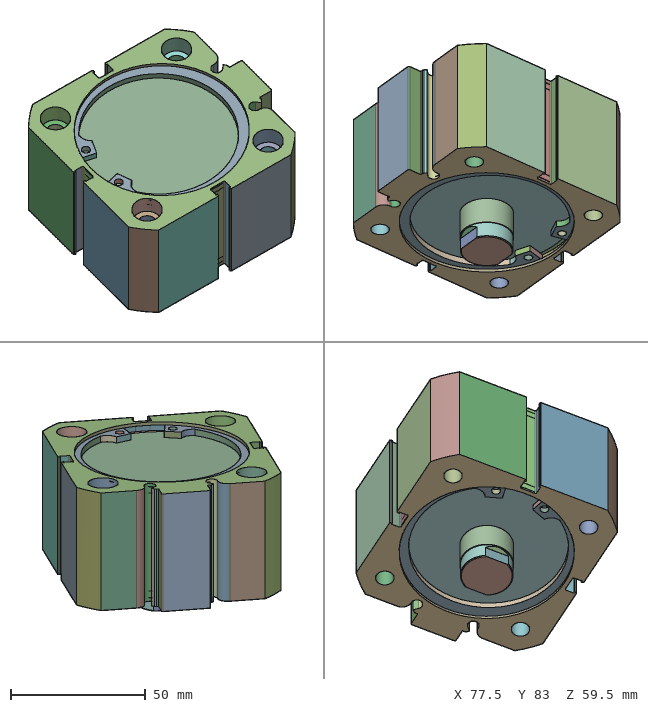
import cadquery as cq
import math


BODY_WIDTH = 77.5
BODY_HALF = BODY_WIDTH / 2
BACK_FACE = 38.5
BODY_HEIGHT = 46.5
CORNER_RADIUS = 49.5
BORE_RADIUS = 32.45
OVERCUT = 0.8

HOLE_OFFSET = 28.1
HOLE_DIAMETER = 6.8
COUNTERBORE_DIAMETER = 11.2
COUNTERBORE_DEPTH = 7.3

SLOT_FLOOR = 34.1
SLOT_HALF_WIDTH = 3.3
MOUTH_HALF_WIDTH = 2.7
LIP_THICKNESS = 1.0
LIP_CHAMFER = 0.3
SLOT_FILLET = 0.5

OVERALL_DEPTH = 83.0
RAIL_TOP = OVERALL_DEPTH - BODY_HALF
RAIL_HALF_WIDTH = 9.3
RAIL_NECK_Y = 38.85
RAIL_LIP_BEVEL = 0.8
RAIL_FILLET = 0.5
NOTCH_RADIUS = 2.15
NOTCH_X = 11.7
NOTCH_Y = 34.4
SHOULDER_RADIUS = 3.8

GROOVE_WALL = 0.25
GROOVE_RADIUS = SLOT_FLOOR - GROOVE_WALL
GROOVE_INSET = 1.25
RING_THICKNESS = 2.5
RING_CLEARANCE = 0.2
GROOVE_WIDTH = RING_THICKNESS + RING_CLEARANCE
RING_SEAT = GROOVE_INSET + GROOVE_WIDTH
RING_INNER_RADIUS = 29.6
RING_INNER_SHIFT = -1.5
LUG_RELIEF_ANGLE = -53.0
LUG_RELIEF_X = 15.6
LUG_RELIEF_Y = -25.4
LUG_TIP = (12.3, -23.15)
LUG_CORNER = (6.3, -25.5)
LUG_HOLE = (10.05, -27.6)
LUG_HOLE_DIAMETER = 3.2

HEAD_COVER_THICKNESS = 7.5
HEAD_COVER_BOTTOM = BODY_HEIGHT - RING_SEAT - HEAD_COVER_THICKNESS
ROD_COVER_THICKNESS = 11.6
PISTON_THICKNESS = 9.6
ROD_RADIUS = 10.0
ROD_LENGTH_BELOW = 13.0
ROD_COLLAR_LENGTH = 6.7
ROD_TIP_RADIUS = 9.75
ROD_TIP_CHAMFER = 0.3
FLAT_DISTANCE = 8.5


def cylinder(radius, bottom, top):
    return cq.Workplane("XY").workplane(offset=bottom).circle(radius).extrude(top - bottom)


def both_sides(shape):
    return shape.union(shape.mirror("YZ"))


def flank_cutter():
    """Space beside the rail on +X: notch, undercut tip and rounded shoulder of the housing."""
    diagonal = NOTCH_RADIUS * math.sqrt(0.5)
    tangent = (NOTCH_X - diagonal, NOTCH_Y + diagonal)
    tip = (NOTCH_X, NOTCH_Y + NOTCH_RADIUS * math.sqrt(2))
    wall_x = NOTCH_X + NOTCH_RADIUS
    shoulder_end_x = wall_x + SHOULDER_RADIUS
    shoulder_mid = (
        shoulder_end_x - SHOULDER_RADIUS * math.sqrt(0.5),
        BACK_FACE - SHOULDER_RADIUS * (1 - math.sqrt(0.5)),
    )
    return (
        cq.Workplane("XY")
        .moveTo(RAIL_HALF_WIDTH, RAIL_NECK_Y)
        .lineTo(tip[0] - RAIL_LIP_BEVEL, tip[1] + RAIL_LIP_BEVEL)
        .lineTo(*tip)
        .lineTo(*tangent)
        .threePointArc((NOTCH_X, NOTCH_Y - NOTCH_RADIUS), (wall_x, NOTCH_Y))
        .lineTo(wall_x, BACK_FACE - SHOULDER_RADIUS)
        .threePointArc(shoulder_mid, (shoulder_end_x, BACK_FACE))
        .close()
        .extrude(BODY_HEIGHT)
    )


def slot_cutter():
    """Sensor slot on the +X side, along the whole height."""
    lip_inside = BODY_HALF - LIP_THICKNESS
    chamfer_start = BODY_HALF - LIP_CHAMFER
    depth = lip_inside - SLOT_FLOOR
    channel = (
        cq.Workplane("XY")
        .center(SLOT_FLOOR + depth / 2, 0)
        .rect(depth, 2 * SLOT_HALF_WIDTH)
        .extrude(BODY_HEIGHT)
        .edges("|Z and <X")
        .fillet(SLOT_FILLET)
    )
    flared = MOUTH_HALF_WIDTH + LIP_CHAMFER
    mouth = (
        cq.Workplane("XY")
        .polyline([
            (lip_inside, -MOUTH_HALF_WIDTH),
            (chamfer_start, -MOUTH_HALF_WIDTH),
            (BODY_HALF, -flared),
            (BODY_HALF, flared),
            (chamfer_start, MOUTH_HALF_WIDTH),
            (lip_inside, MOUTH_HALF_WIDTH),
        ])
        .close()
        .extrude(BODY_HEIGHT)
    )
    return channel.union(mouth)


def make_housing():
    depth = BODY_HALF + BACK_FACE
    body = (
        cq.Workplane("XY")
        .center(0, BACK_FACE - depth / 2)
        .rect(BODY_WIDTH, depth)
        .extrude(BODY_HEIGHT)
    )
    body = body.intersect(cylinder(CORNER_RADIUS, 0, BODY_HEIGHT))
    rail_height = RAIL_TOP - NOTCH_Y
    rail = (
        cq.Workplane("XY")
        .center(0, RAIL_TOP - rail_height / 2)
        .rect(2 * RAIL_HALF_WIDTH, rail_height)
        .extrude(BODY_HEIGHT)
        .edges("|Z and >Y")
        .fillet(RAIL_FILLET)
    )
    body = body.union(rail).cut(both_sides(flank_cutter()))
    for angle in (0, 180, 270):
        body = body.cut(slot_cutter().rotate((0, 0, 0), (0, 0, 1), angle))
    body = (
        body.faces(">Z")
        .workplane(origin=(0, 0, BODY_HEIGHT))
        .rect(2 * HOLE_OFFSET, 2 * HOLE_OFFSET, forConstruction=True)
        .vertices()
        .cboreHole(HOLE_DIAMETER, COUNTERBORE_DIAMETER, COUNTERBORE_DEPTH)
    )
    body = body.cut(cylinder(BORE_RADIUS, -OVERCUT, BODY_HEIGHT + OVERCUT))
    for bottom in (GROOVE_INSET, BODY_HEIGHT - RING_SEAT):
        body = body.cut(cylinder(GROOVE_RADIUS, bottom, bottom + GROOVE_WIDTH))
    return body


def make_ring(bottom):
    """Internal retaining ring, widest on +Y, with a gap between two drilled lugs on -Y."""
    def inner_point(degrees):
        angle = math.radians(degrees)
        return (
            RING_INNER_RADIUS * math.cos(angle),
            RING_INNER_SHIFT + RING_INNER_RADIUS * math.sin(angle),
        )

    def mirrored(point):
        return (-point[0], point[1])

    gap_scale = GROOVE_RADIUS / math.hypot(*LUG_CORNER)
    gap_end = (LUG_CORNER[0] * gap_scale, LUG_CORNER[1] * gap_scale)
    relief_start = inner_point(LUG_RELIEF_ANGLE)
    relief_bottom = (LUG_RELIEF_X, LUG_RELIEF_Y)
    return (
        cq.Workplane("XY")
        .workplane(offset=bottom)
        .moveTo(*gap_end)
        .threePointArc((0, GROOVE_RADIUS), mirrored(gap_end))
        .lineTo(*mirrored(LUG_CORNER))
        .lineTo(*mirrored(LUG_TIP))
        .threePointArc(mirrored(relief_bottom), mirrored(relief_start))
        .threePointArc(inner_point(90), relief_start)
        .threePointArc(relief_bottom, LUG_TIP)
        .lineTo(*LUG_CORNER)
        .close()
        .pushPoints([LUG_HOLE, mirrored(LUG_HOLE)])
        .circle(LUG_HOLE_DIAMETER / 2)
        .extrude(RING_THICKNESS)
    )


def make_head_cover():
    """Plain disc that closes the upper end of the bore, under the upper ring."""
    return cylinder(BORE_RADIUS, HEAD_COVER_BOTTOM, BODY_HEIGHT - RING_SEAT)


def make_rod_cover():
    """Disc that closes the lower end of the bore and guides the rod."""
    disc = cylinder(BORE_RADIUS, RING_SEAT, RING_SEAT + ROD_COVER_THICKNESS)
    return disc.cut(cylinder(ROD_RADIUS, 0, BODY_HEIGHT))


def wrench_flat_cutter():
    """Flat on the -Y side of the rod tip, ending in a 45 degree shoulder at the collar."""
    shoulder = ROD_RADIUS - FLAT_DISTANCE
    tip = -ROD_LENGTH_BELOW
    outside = -ROD_RADIUS - OVERCUT
    return (
        cq.Workplane("YZ")
        .polyline([
            (-FLAT_DISTANCE, tip),
            (-FLAT_DISTANCE, -ROD_COLLAR_LENGTH - shoulder),
            (-ROD_RADIUS, -ROD_COLLAR_LENGTH),
            (outside, -ROD_COLLAR_LENGTH),
            (outside, tip),
        ])
        .close()
        .extrude(ROD_RADIUS, both=True)
    )


def make_piston_rod():
    """Piston resting against the head cover, in one piece with the rod."""
    piston_bottom = HEAD_COVER_BOTTOM - PISTON_THICKNESS
    piston = cylinder(BORE_RADIUS, piston_bottom, HEAD_COVER_BOTTOM)
    rod = cylinder(ROD_RADIUS, -ROD_COLLAR_LENGTH, piston_bottom)
    tip = cylinder(ROD_TIP_RADIUS, -ROD_LENGTH_BELOW, -ROD_COLLAR_LENGTH)
    tip = tip.faces("<Z").chamfer(ROD_TIP_CHAMFER)
    flat = wrench_flat_cutter()
    tip = tip.cut(flat).cut(flat.mirror("XZ"))
    return piston.union(rod).union(tip)


housing = make_housing()
head_cover = make_head_cover()
rod_cover = make_rod_cover()
piston_rod = make_piston_rod()

ring_bottoms = (RING_SEAT - RING_THICKNESS, BODY_HEIGHT - RING_SEAT)
rings = [make_ring(bottom) for bottom in ring_bottoms]

result = cq.Compound.makeCompound([
    housing.val(),
    head_cover.val(),
    rod_cover.val(),
    piston_rod.val(),
    *[ring.val() for ring in rings],
])